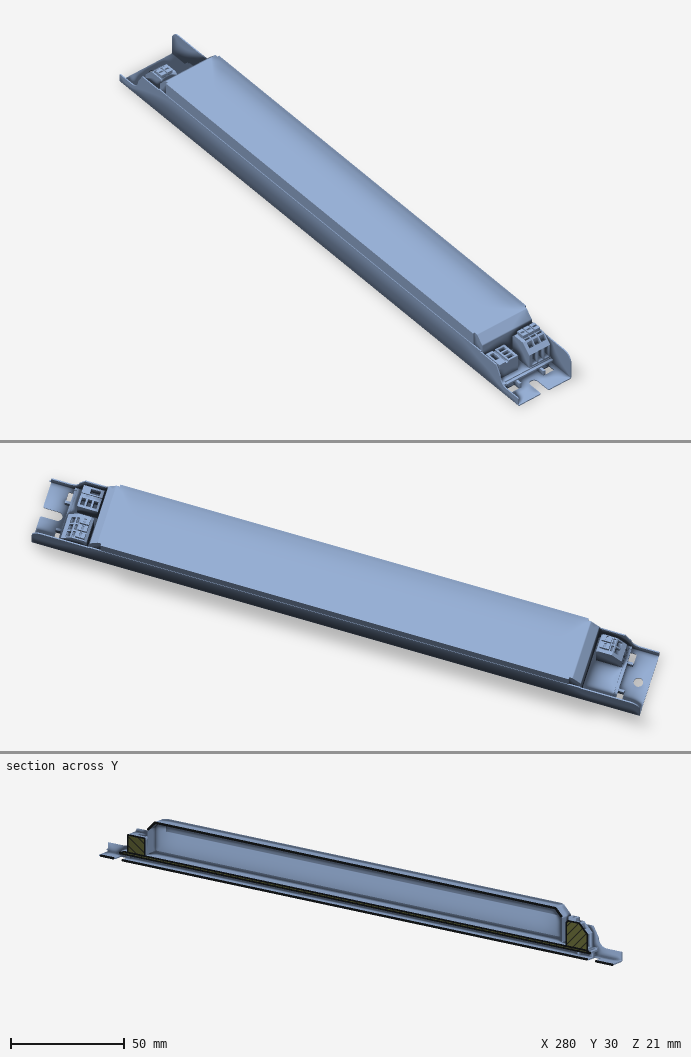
import cadquery as cq
import math

LENGTH = 280.0
WIDTH = 30.0
HEIGHT = 21.0
SHEET = 0.5

LEFT_END = -LENGTH / 2
LIP_END = LENGTH / 2
LIP_OVERHANG = 0.8
RIGHT_END = LIP_END - LIP_OVERHANG
MIDDLE = (LEFT_END + RIGHT_END) / 2
HALF_LENGTH = (RIGHT_END - LEFT_END) / 2
WALL_TOP = 13.7
WALL_MIDDLE_TOP = 14.3
WALL_CORNER = 4.5
BEND_RADIUS = 0.8
LIP_HEIGHT = 4.5
LIP_TAB_BOTTOM = 0.8
LIP_TAB_TOP = 1.5
SWEEP_START = 8.5
SWEEP_END = 15.7
SWEEP_RADIUS = 4.5
SCREW_HOLE_D = 4.2
SCREW_HOLE_INSET = 5.0
SLOT_WIDTH = 4.2
SLOT_DEPTH = 9.5
SLOT_CORNER = 0.8

BOARD_HALF_LENGTH = 128.0
BOARD_HALF_WIDTH = 13.7
BOARD_BOTTOM = 3.0
BOARD_TOP = 4.5
BOARD_REBATE = 1.5
BOARD_REBATE_DEPTH = 0.5
BOARD_REBATE_FRONT = -12.5

WINDOW_INNER = 7.3
WINDOW_OUTER = 12.3
WINDOW_FAR = 130.5
WINDOW_NEAR = 126.8
FIN_THICKNESS = 1.0
FIN_NEAR = 125.0

COVER_HALF_LENGTH = 112.8
COVER_CHAMFER = 4.0
COVER_BOTTOM = 6.0
COVER_HALF_WIDTH = 14.0
SIDE_HALF_LENGTH = 107.5
SIDE_BOTTOM = 14.8
FOLD_RADIUS = 0.8

TERMINAL_BACK = 114.5
TERMINAL_FACE = 126.3
TERMINAL_TOP = 16.2
FACE_TOP = 11.8
SLOPE_END = 121.8
BACK_CHAMFER = 1.0
POLE_PITCH = 3.5
TERMINAL_FLANGE = 1.5
TERMINAL_SKIN = 0.3
POLE_OPENING = 2.8
WIRE_OPENING_BOTTOM = 5.3
WIRE_OPENING_DEPTH = 4.2
NOTCH_BOTTOM = 12.3
NOTCH_BACK = 122.5
NOTCH_FRONT = 124.3
BUTTON_NEAR = 115.5
BUTTON_FAR = 119.8
BUTTON_TOP = 18.0
BUTTON_SLOT_LENGTH = 2.0
BUTTON_SLOT_WIDTH = 1.0
BUTTON_SLOT_DEPTH = 0.8
WELL_NEAR = 120.5
WELL_FAR = 121.5
WELL_DEPTH = 1.5
PIN = 0.8
PIN_BOTTOM = 1.0
PIN_X = 120.5
INPUT_POLES = 2
INPUT_SIDE_Y = -11.5
OUTPUT_POLES = 3
OUTPUT_SIDE_Y = 13.5

SOCKET_NEAR = 114.2
SOCKET_FAR = 123.8
SOCKET_FRONT = -13.2
SOCKET_BACK = -2.8
SOCKET_TOP = 12.5
SOCKET_HOLES = 3
SOCKET_PITCH = 2.8
SOCKET_HOLE_LENGTH = 2.0
SOCKET_HOLE_WIDTH = 3.5
SOCKET_HOLE_Y = -5.5
SOCKET_HOLE_DEPTH = 4.2
SOCKET_GROOVE_BACK = -8.0
SOCKET_GROOVE_FRONT = -9.5
SOCKET_GROOVE_DEPTH = 0.8
SOCKET_POCKET_LENGTH = 4.5
SOCKET_POCKET_WIDTH = 2.2
SOCKET_POCKET_X = 118.0
SOCKET_POCKET_Y = -11.2
SOCKET_PIN_Y = -4.0


def block(x0, x1, y0, y1, z0, z1):
    """Box between two limits on each axis."""
    return cq.Workplane("XY").box(x1 - x0, y1 - y0, z1 - z0, centered=False).translate((x0, y0, z0))


def extruded_along_y(outline, y0, y1):
    """Prism of an outline in X and Z between two Y values."""
    return outline.close().extrude(y0 - y1).translate((0, y0, 0))


def wall_middle(y):
    """Slightly higher stretch of a wall, as long as the cover."""
    return block(-COVER_HALF_LENGTH, COVER_HALF_LENGTH, y, y + SHEET, 0, WALL_MIDDLE_TOP)


def tray_front_wall():
    """Front wall: a low lip at both ends that sweeps up to the full height."""
    foot = HALF_LENGTH - SWEEP_START
    shoulder = HALF_LENGTH - SWEEP_END

    def arc_middle(foot_x):
        """Middle of the quarter arc that rises from the lip at a foot."""
        sideways = SWEEP_RADIUS * math.sin(math.radians(45))
        rise = SWEEP_RADIUS * (1 - math.cos(math.radians(45)))
        return (foot_x - math.copysign(sideways, foot_x), LIP_HEIGHT + rise)

    outline = (
        cq.Workplane("XZ")
        .moveTo(-HALF_LENGTH, 0)
        .lineTo(-HALF_LENGTH, LIP_HEIGHT)
        .lineTo(-foot, LIP_HEIGHT)
        .threePointArc(arc_middle(-foot), (-foot + SWEEP_RADIUS, LIP_HEIGHT + SWEEP_RADIUS))
        .lineTo(-shoulder, WALL_TOP)
        .lineTo(shoulder, WALL_TOP)
        .lineTo(foot - SWEEP_RADIUS, LIP_HEIGHT + SWEEP_RADIUS)
        .threePointArc(arc_middle(foot), (foot, LIP_HEIGHT))
        .lineTo(HALF_LENGTH, LIP_HEIGHT)
        .lineTo(HALF_LENGTH, 0)
    )
    wall = extruded_along_y(outline, -WIDTH / 2, -WIDTH / 2 + SHEET).translate((MIDDLE, 0, 0))
    return wall.union(wall_middle(-WIDTH / 2))


def lip_tab():
    return block(RIGHT_END - SHEET, LIP_END, -WIDTH / 2, -WIDTH / 2 + SHEET, LIP_TAB_BOTTOM, LIP_TAB_TOP)


def tray_rear_wall():
    wall = block(LEFT_END, RIGHT_END, WIDTH / 2 - SHEET, WIDTH / 2, 0, WALL_TOP)
    wall = wall.edges("|Y and >Z").fillet(WALL_CORNER)
    return wall.union(wall_middle(WIDTH / 2 - SHEET))


def bent_sheet():
    """Floor and both walls with rounded bends between them."""
    floor = block(LEFT_END, RIGHT_END, -WIDTH / 2, WIDTH / 2, 0, SHEET)
    sheet = floor.union(tray_front_wall()).union(tray_rear_wall())
    sheet = sheet.faces("<Z").edges("|X").fillet(BEND_RADIUS)
    inside = WIDTH / 2 - SHEET
    inner_corners = cq.selectors.BoxSelector(
        (-LENGTH, -inside - SHEET / 2, SHEET / 2), (LENGTH, inside + SHEET / 2, SHEET * 3 / 2)
    )
    sheet = sheet.edges("|X").edges(inner_corners).fillet(BEND_RADIUS - SHEET)
    return sheet.union(lip_tab())


def make_tray():
    tray = bent_sheet()
    slot_end = RIGHT_END - SLOT_DEPTH + SLOT_WIDTH / 2
    slot = block(slot_end, RIGHT_END, -SLOT_WIDTH / 2, SLOT_WIDTH / 2, 0, SHEET).union(
        cq.Workplane("XY").center(slot_end, 0).circle(SLOT_WIDTH / 2).extrude(SHEET)
    )
    screw_hole = (
        cq.Workplane("XY").center(LEFT_END + SCREW_HOLE_INSET, 0).circle(SCREW_HOLE_D / 2).extrude(SHEET)
    )
    tray = tray.cut(slot).cut(screw_hole)
    mouth = cq.selectors.BoxSelector(
        (RIGHT_END - SHEET, -SLOT_WIDTH, -SHEET), (RIGHT_END + SHEET, SLOT_WIDTH, 2 * SHEET)
    )
    tray = tray.edges("|Z").edges(mouth).fillet(SLOT_CORNER)
    window = block(WINDOW_NEAR, WINDOW_FAR, WINDOW_INNER, WINDOW_OUTER, 0, SHEET)
    inner_fin = block(FIN_NEAR, WINDOW_FAR, WINDOW_INNER - FIN_THICKNESS, WINDOW_INNER, 0, BOARD_BOTTOM)
    outer_fin = block(FIN_NEAR, WINDOW_NEAR, WINDOW_OUTER - FIN_THICKNESS, WINDOW_OUTER, 0, BOARD_BOTTOM)
    fins = inner_fin.union(outer_fin)
    for mirror_planes in ([], ["YZ"], ["XZ"], ["YZ", "XZ"]):
        corner_window = window
        corner_fins = fins
        for plane in mirror_planes:
            corner_window = corner_window.mirror(plane)
            corner_fins = corner_fins.mirror(plane)
        tray = tray.cut(corner_window).union(corner_fins)
    return tray


def cover_core(inset):
    """Middle of the cover with sloped upper ends, shrunk by an inset on all sides but the bottom."""
    half = COVER_HALF_LENGTH - inset
    top = HEIGHT - inset
    leg = COVER_CHAMFER - inset * (2 - math.sqrt(2))
    outline = cq.Workplane("XZ").polyline(
        [
            (-half, COVER_BOTTOM),
            (-half, top - leg),
            (-half + leg, top),
            (half - leg, top),
            (half, top - leg),
            (half, COVER_BOTTOM),
        ]
    )
    half_width = COVER_HALF_WIDTH - inset
    core = extruded_along_y(outline, -half_width, half_width)
    return core.edges("|Y and (not <Z)").fillet(FOLD_RADIUS - inset)


def cover_sides(inset):
    """Wider upper part whose sides lie flush with the tray walls, shrunk by an inset."""
    half = SIDE_HALF_LENGTH - inset
    half_width = WIDTH / 2 - inset
    return block(-half, half, -half_width, half_width, SIDE_BOTTOM + inset, HEIGHT - inset)


def make_cover():
    outside = cover_core(0).union(cover_sides(0))
    return outside.cut(cover_core(SHEET)).cut(cover_sides(SHEET))


def make_terminal(poles):
    """Terminal facing +X: the poles start at Y = 0 and follow towards -Y."""
    far_side = -(TERMINAL_SKIN + poles * POLE_PITCH + TERMINAL_FLANGE)
    outline = cq.Workplane("XZ").polyline(
        [
            (TERMINAL_BACK, BOARD_TOP),
            (TERMINAL_FACE, BOARD_TOP),
            (TERMINAL_FACE, FACE_TOP),
            (SLOPE_END, TERMINAL_TOP),
            (TERMINAL_BACK + BACK_CHAMFER, TERMINAL_TOP),
            (TERMINAL_BACK, TERMINAL_TOP - BACK_CHAMFER),
        ]
    )
    terminal = extruded_along_y(outline, far_side, 0)
    for pole in range(poles):
        y = -TERMINAL_SKIN - (pole + 0.5) * POLE_PITCH
        y0 = y - POLE_OPENING / 2
        y1 = y + POLE_OPENING / 2
        wire_opening = block(
            TERMINAL_FACE - WIRE_OPENING_DEPTH, TERMINAL_FACE, y0, y1, WIRE_OPENING_BOTTOM, FACE_TOP
        )
        notch = block(NOTCH_BACK, NOTCH_FRONT, y0, y1, NOTCH_BOTTOM, TERMINAL_TOP)
        well = block(WELL_NEAR, WELL_FAR, y0, y1, TERMINAL_TOP - WELL_DEPTH, TERMINAL_TOP)
        button = block(BUTTON_NEAR, BUTTON_FAR, y0, y1, TERMINAL_TOP, BUTTON_TOP)
        button_slot = (
            cq.Workplane("XY", origin=((BUTTON_NEAR + BUTTON_FAR) / 2, y, BUTTON_TOP))
            .rect(BUTTON_SLOT_WIDTH, BUTTON_SLOT_LENGTH)
            .extrude(-BUTTON_SLOT_DEPTH)
        )
        terminal = terminal.cut(wire_opening).cut(notch).cut(well).union(button.cut(button_slot))
        terminal = terminal.union(make_pin(PIN_X, y))
    return terminal


def make_pin(x, y):
    """Solder pin that passes through the board."""
    half = PIN / 2
    return block(x - half, x + half, y - half, y + half, PIN_BOTTOM, BOARD_TOP)


def make_socket():
    socket = block(SOCKET_NEAR, SOCKET_FAR, SOCKET_FRONT, SOCKET_BACK, BOARD_TOP, SOCKET_TOP)
    center_x = (SOCKET_NEAR + SOCKET_FAR) / 2
    top = cq.Workplane("XY").workplane(offset=SOCKET_TOP)
    holes = (
        top.center(center_x, SOCKET_HOLE_Y)
        .rarray(SOCKET_PITCH, 2.8, SOCKET_HOLES, 1)
        .rect(SOCKET_HOLE_LENGTH, SOCKET_HOLE_WIDTH)
        .extrude(-SOCKET_HOLE_DEPTH)
    )
    pocket = (
        top.center(SOCKET_POCKET_X, SOCKET_POCKET_Y)
        .rect(SOCKET_POCKET_LENGTH, SOCKET_POCKET_WIDTH)
        .extrude(-SOCKET_HOLE_DEPTH)
    )
    groove = block(
        SOCKET_NEAR,
        SOCKET_FAR,
        SOCKET_GROOVE_FRONT,
        SOCKET_GROOVE_BACK,
        SOCKET_TOP - SOCKET_GROOVE_DEPTH,
        SOCKET_TOP,
    )
    return socket.cut(holes).cut(groove).cut(pocket).union(make_pin(center_x, SOCKET_PIN_Y))


def make_board(mounted_parts):
    """Board with rebated ends and a hole for every pin of the parts mounted on it."""
    board = block(
        -BOARD_HALF_LENGTH, BOARD_HALF_LENGTH, -BOARD_HALF_WIDTH, BOARD_HALF_WIDTH, BOARD_BOTTOM, BOARD_TOP
    )
    rebate = block(
        BOARD_HALF_LENGTH - BOARD_REBATE,
        BOARD_HALF_LENGTH,
        BOARD_REBATE_FRONT,
        BOARD_HALF_WIDTH,
        BOARD_TOP - BOARD_REBATE_DEPTH,
        BOARD_TOP,
    )
    board = board.cut(rebate).cut(rebate.mirror("YZ"))
    for part in mounted_parts:
        board = board.cut(part)
    return board


tray = make_tray()
cover = make_cover()
output_terminal = make_terminal(OUTPUT_POLES).translate((0, OUTPUT_SIDE_Y, 0))
input_terminal = (
    make_terminal(INPUT_POLES).rotate((0, 0, 0), (0, 0, 1), 180).translate((0, INPUT_SIDE_Y, 0))
)
socket = make_socket()
board = make_board([output_terminal, input_terminal, socket])

result = cq.Compound.makeCompound(
    [
        tray.val(),
        cover.val(),
        board.val(),
        output_terminal.val(),
        input_terminal.val(),
        socket.val(),
    ]
)